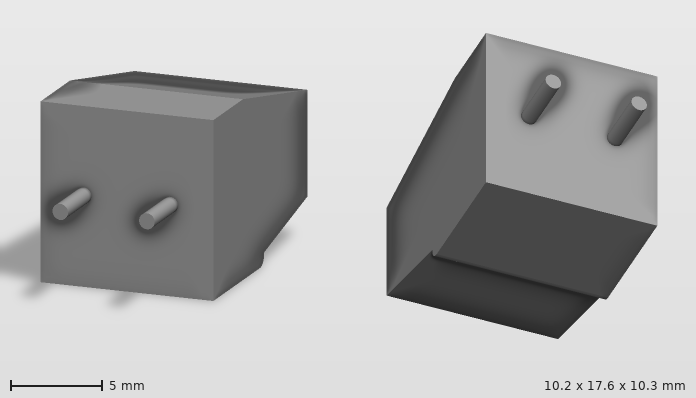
import cadquery as cq

width = 10.15
height = 10.3
total_length = 17.6
pin_length = 3.5
body_length = total_length - pin_length

top_flat_length = 4.44
rear_top_drop = 2.06
rear_bottom_rise = 2.16

foot_length = 7.6
foot_step_height = 0.72
foot_radius = 0.62

pin_diameter = 0.92
pin_spacing = 5.09
pin_height = 5.21


def make_body():
    """Side profile in the YZ plane, extruded across the width."""
    profile = (
        cq.Workplane("YZ")
        .moveTo(0, 0)
        .lineTo(0, height)
        .lineTo(top_flat_length, height)
        .lineTo(body_length, height - rear_top_drop)
        .lineTo(body_length, rear_bottom_rise)
        .lineTo(foot_length, foot_step_height)
        .lineTo(foot_length, foot_radius)
        .radiusArc((foot_length - foot_radius, 0), foot_radius)
        .close()
    )
    return profile.extrude(width / 2, both=True)


def make_pins():
    """Two round pins projecting forward from the pin face."""
    return (
        cq.Workplane("XZ")
        .pushPoints([(side * pin_spacing / 2, pin_height) for side in (-1, 1)])
        .circle(pin_diameter / 2)
        .extrude(pin_length)
    )


result = make_body().union(make_pins())